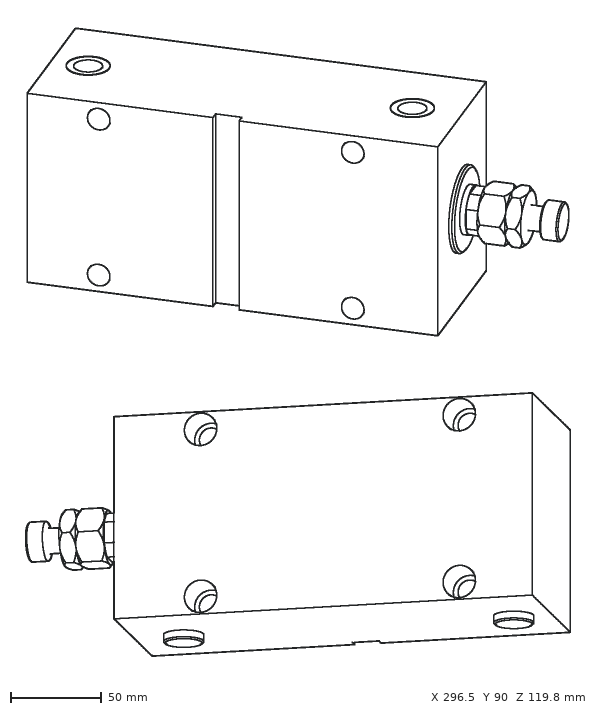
import cadquery as cq
import math


total_length = 296.5
block_length = 237.8
block_width = 90.0
total_height = 119.8
plug_head_height = 4.7
block_height = total_height - plug_head_height
block_front_y = -block_width / 2
block_top_z = block_height / 2

groove_x = 107.5
groove_width = 15.0
groove_depth = 5.0

mount_hole_diameter = 13.0
mount_hole_xs = (41.5, 188.5)
mount_hole_edge_distance = 10.0
mount_hole_z = block_top_z - mount_hole_edge_distance
counterbore_diameter = 18.5
counterbore_depth = 24.3

port_xs = (21.3, 209.0)
port_diameter = 16.0
port_depth = 12.0
spotface_diameter = 24.3
spotface_depth = 0.3
oil_passage_diameter = 6.0

plug_head_diameter = 22.2
plug_head_chamfer = 1.0

guide_diameter = 49.5
guide_length = 3.0
guide_chamfer = 1.2

rod_diameter = 28.2
wrench_end_diameter = 27.5
rod_rear_x = 12.0
rod_round_reach = 6.2
rod_round_end_x = block_length + rod_round_reach
rod_flats_length = 7.0
rod_end_x = rod_round_end_x + rod_flats_length
rod_across_flats = 25.0

hex_across_flats = 30.2
hex_across_corners = hex_across_flats / math.cos(math.pi / 6)
hex_chamfer = (hex_across_corners - hex_across_flats) / 2
nut_length = 16.0
nut_end_x = rod_end_x + nut_length

stud_diameter = 20.0
pin_hex_length = 9.2
pin_hex_end_x = nut_end_x + pin_hex_length
neck_diameter = 14.2
neck_fillet = 1.0
head_diameter = 22.2
head_length = 10.7
head_start_x = total_length - head_length
head_chamfer = 1.0


def x_cylinder(diameter, start_x, end_x):
    """Cylinder on the X axis, with its seam on the +Z side."""
    return (
        cq.Workplane("XZ", origin=(start_x, 0, 0))
        .rect(end_x - start_x, diameter / 2, centered=False)
        .revolve(360, (0, 0, 0), (1, 0, 0))
    )


def z_cylinders(diameter, start_z, end_z, xs):
    """Upright cylinders at Y = 0, one at each of the given X places."""
    return (
        cq.Workplane("XY", origin=(0, 0, start_z))
        .pushPoints([(x, 0) for x in xs])
        .circle(diameter / 2)
        .extrude(end_z - start_z)
    )


def chamfered_hexagon(start_x, end_x):
    """Hexagon on the X axis with corners at +Y and -Y, its corners turned off at both ends."""
    length = end_x - start_x
    hexagon = cq.Workplane("YZ", origin=(start_x, 0, 0)).polygon(6, hex_across_corners).extrude(length)
    turned_blank = x_cylinder(hex_across_corners, start_x, end_x).faces("<X or >X").chamfer(hex_chamfer)
    return hexagon.intersect(turned_blank)


def make_housing():
    housing = cq.Workplane("XY").box(block_length, block_width, block_height, centered=(False, True, True))
    guide = x_cylinder(guide_diameter, block_length, block_length + guide_length)
    housing = housing.union(guide.faces(">X").chamfer(guide_chamfer))

    groove = cq.Workplane("XY", origin=(groove_x, block_front_y, 0)).box(
        groove_width, groove_depth, block_height, centered=(False, False, True)
    )
    housing = housing.cut(groove)

    hole_places = [(x, z) for x in mount_hole_xs for z in (-mount_hole_z, mount_hole_z)]
    back_face = cq.Workplane("XZ", origin=(0, block_width / 2, 0)).pushPoints(hole_places)
    housing = housing.cut(back_face.circle(mount_hole_diameter / 2).extrude(block_width))
    housing = housing.cut(back_face.circle(counterbore_diameter / 2).extrude(counterbore_depth))

    port_floor_z = block_top_z - port_depth
    housing = housing.cut(z_cylinders(spotface_diameter, block_top_z - spotface_depth, block_top_z, port_xs))
    housing = housing.cut(z_cylinders(port_diameter, port_floor_z, block_top_z, port_xs))
    housing = housing.cut(z_cylinders(oil_passage_diameter, 0, port_floor_z, port_xs))
    housing = housing.cut(z_cylinders(port_diameter, -block_top_z, -port_floor_z, port_xs))

    return housing.cut(x_cylinder(rod_diameter, rod_rear_x, block_length + guide_length))


def make_plug(x):
    """Plug with its shank filling the lower port and its head under the block."""
    head = z_cylinders(plug_head_diameter, -block_top_z - plug_head_height, -block_top_z, [x])
    shank = z_cylinders(port_diameter, -block_top_z, -block_top_z + port_depth, [x])
    return head.faces("<Z").chamfer(plug_head_chamfer).union(shank)


def make_rod():
    """Round rod whose free end steps down and has four wrench flats."""
    wrench_end = x_cylinder(wrench_end_diameter, rod_round_end_x, rod_end_x).intersect(
        cq.Workplane("YZ", origin=(rod_round_end_x, 0, 0))
        .rect(rod_across_flats, rod_across_flats)
        .extrude(rod_flats_length)
    )
    return x_cylinder(rod_diameter, rod_rear_x, rod_round_end_x).union(wrench_end)


def make_lock_nut():
    return chamfered_hexagon(rod_end_x, nut_end_x).cut(x_cylinder(stud_diameter, rod_end_x, nut_end_x))


def make_coupling_pin():
    """Stud through the nut, then a hexagon, a neck and a round head."""
    stud = x_cylinder(stud_diameter, rod_end_x, nut_end_x)
    hexagon = chamfered_hexagon(nut_end_x, pin_hex_end_x)
    neck = x_cylinder(neck_diameter, pin_hex_end_x, head_start_x)
    head = x_cylinder(head_diameter, head_start_x, total_length).faces("<X or >X").chamfer(head_chamfer)
    pin = hexagon.union(neck).union(head)
    neck_ends = cq.selectors.BoxSelector(
        (pin_hex_end_x - neck_fillet, -neck_diameter, -neck_diameter),
        (head_start_x + neck_fillet, neck_diameter, neck_diameter),
        boundingbox=True,
    )
    return pin.edges("%CIRCLE").edges(neck_ends).fillet(neck_fillet).union(stud)


housing = make_housing()
plugs = [make_plug(x) for x in port_xs]
rod = make_rod()
lock_nut = make_lock_nut()
coupling_pin = make_coupling_pin()

result = cq.Compound.makeCompound(
    [housing.val(), *[plug.val() for plug in plugs], rod.val(), lock_nut.val(), coupling_pin.val()]
)